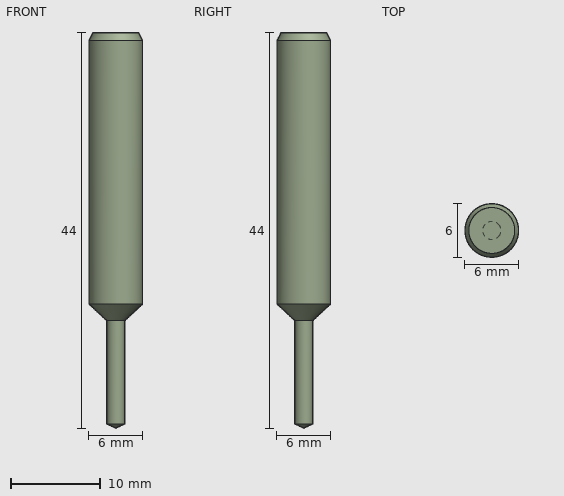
import cadquery as cq

TOTAL_LENGTH = 44.0
SHANK_RADIUS = 3.0
CUTTER_RADIUS = 1.0

TIP_HEIGHT = 0.5
CUTTER_TOP = 11.95
SHANK_BOTTOM = 13.8

CHAMFER_WIDTH = 0.45
CHAMFER_HEIGHT = 0.9


def make_shank():
    """Cylindrical shank with a chamfered top and a cone narrowing down to the cutter."""
    return (
        cq.Workplane("XZ")
        .moveTo(0, CUTTER_TOP)
        .lineTo(CUTTER_RADIUS, CUTTER_TOP)
        .lineTo(SHANK_RADIUS, SHANK_BOTTOM)
        .lineTo(SHANK_RADIUS, TOTAL_LENGTH - CHAMFER_HEIGHT)
        .lineTo(SHANK_RADIUS - CHAMFER_WIDTH, TOTAL_LENGTH)
        .lineTo(0, TOTAL_LENGTH)
        .close()
        .revolve(360, (0, 0, 0), (0, 1, 0))
    )


def make_cutter():
    """Slim round cutter with a conical tip, meeting the shank at its flat upper end."""
    return (
        cq.Workplane("XZ")
        .lineTo(CUTTER_RADIUS, TIP_HEIGHT)
        .lineTo(CUTTER_RADIUS, CUTTER_TOP)
        .lineTo(0, CUTTER_TOP)
        .close()
        .revolve(360, (0, 0, 0), (0, 1, 0))
    )


shank = make_shank()
cutter = make_cutter()

result = cq.Compound.makeCompound([shank.val(), cutter.val()])